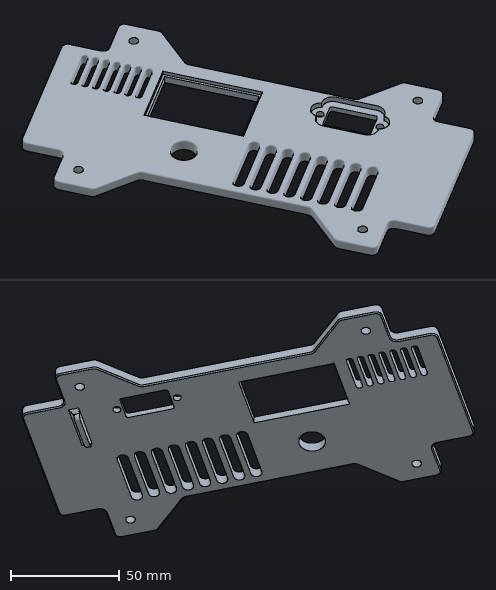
import cadquery as cq
length = 199.0
width = 109.0
plate_thickness = 6.0
wing_width = 68.7
waist_width = 74.6
ear_half_span = 78.2
ear_tip_inner_x = 58.3
corner_radius = 3.0
top_edge_radius = 1.0
bottom_chamfer = 0.5

mount_hole_diameter = 4.4
mount_hole_x = 68.5
mount_hole_y = 44.4

small_vent_count = 7
small_vent_pitch = 5.2
small_vent_width = 3.0
small_vent_length = 19.5
small_vent_centre = (-71.6, 19.3)

large_vent_count = 8
large_vent_pitch = 8.2
large_vent_width = 5.2
large_vent_length = 29.8
large_vent_centre = (33.0, -18.1)

rim_radius = 1.0

window_length = 45.5
window_height = 27.0
window_ledge = 1.2
window_lower_ledge = 2.0
window_ledge_depth = 2.0
window_centre = (-25.9, 14.3)

button_diameter = 12.3
button_centre = (-25.7, -18.0)

connector_centre = (41.4, 25.7)
connector_length = 22.9
connector_height = 12.5
connector_corner_radius = 1.0
recess_length = 30.0
recess_height = 19.9
recess_corner_radius = 5.0
recess_depth = 3.0
screw_spacing = 28.9
screw_hole_diameter = 3.5
screw_lobe_diameter = 8.8

tab_depth = 5.0
tab_left_x = 72.6
tab_thickness = 3.0
tab_width = 20.3
tab_centre_y = 19.5
tab_corner_radius = 2.0
tab_root_flare = 1.8
tab_edge_radius = 1.5


def make_plate():
    waist_y = waist_width / 2
    ear_y = width / 2
    wing_y = wing_width / 2
    waist_x = ear_tip_inner_x - (ear_y - waist_y)
    upper_right = [
        (waist_x, waist_y),
        (ear_tip_inner_x, ear_y),
        (ear_half_span, ear_y),
        (ear_half_span, wing_y),
        (length / 2, wing_y),
    ]
    right = upper_right + [(x, -y) for x, y in reversed(upper_right)]
    left = [(-x, -y) for x, y in right]
    plate = cq.Workplane("XY").polyline(right + left).close().extrude(plate_thickness)
    plate = plate.edges("|Z").fillet(corner_radius)
    plate = plate.faces(">Z").fillet(top_edge_radius)
    return plate.faces("<Z").chamfer(bottom_chamfer)


def top_plane():
    return cq.Workplane("XY").workplane(offset=plate_thickness)


def round_rims(body, centre, span_x, span_y):
    """Round the top edges of every opening within a rectangle on the top face."""
    low = (centre[0] - span_x / 2, centre[1] - span_y / 2, plate_thickness - rim_radius / 2)
    high = (centre[0] + span_x / 2, centre[1] + span_y / 2, plate_thickness + rim_radius / 2)
    return body.edges(cq.selectors.BoxSelector(low, high)).fillet(rim_radius)


def cut_vents(body, count, pitch, slot_width, slot_length, centre):
    """Cut a row of upright slots with rounded top rims."""
    row_span = pitch * (count - 1)
    first_x = centre[0] - row_span / 2
    points = [(first_x + pitch * i, centre[1]) for i in range(count)]
    slots = top_plane().pushPoints(points).slot2D(slot_length, slot_width, 90).extrude(-plate_thickness)
    return round_rims(body.cut(slots), centre, row_span + 2 * slot_width, slot_length + slot_width)


def cut_button_hole(body):
    hole = top_plane().center(*button_centre).circle(button_diameter / 2).extrude(-plate_thickness)
    span = button_diameter + 2 * rim_radius
    return round_rims(body.cut(hole), button_centre, span, span)


def window_cutter():
    """Rectangular opening with a stepped ledge, wider along the lower side."""
    opening = top_plane().center(*window_centre).rect(window_length, window_height)
    opening = opening.extrude(-plate_thickness)
    ledge_length = window_length + 2 * window_ledge
    ledge_height = window_height + window_ledge + window_lower_ledge
    ledge_shift = (window_ledge - window_lower_ledge) / 2
    ledge = (
        top_plane()
        .center(window_centre[0], window_centre[1] + ledge_shift)
        .rect(ledge_length, ledge_height)
        .extrude(-window_ledge_depth)
    )
    return opening.union(ledge)


def connector_cutter():
    """Connector opening and its two screw holes, sunk in a lobed recess."""
    base = top_plane().center(*connector_centre)
    screws = [(-screw_spacing / 2, 0), (screw_spacing / 2, 0)]
    recess = base.rect(recess_length, recess_height).extrude(-recess_depth)
    recess = recess.edges("|Z").fillet(recess_corner_radius)
    lobes = base.pushPoints(screws).circle(screw_lobe_diameter / 2).extrude(-recess_depth)
    opening = base.rect(connector_length, connector_height).extrude(-plate_thickness)
    opening = opening.edges("|Z").fillet(connector_corner_radius)
    holes = base.pushPoints(screws).circle(screw_hole_diameter / 2).extrude(-plate_thickness)
    return recess.union(lobes).union(opening).union(holes)


def mounting_hole_cutter():
    return (
        top_plane()
        .rect(2 * mount_hole_x, 2 * mount_hole_y, forConstruction=True)
        .vertices()
        .circle(mount_hole_diameter / 2)
        .extrude(-plate_thickness)
    )


def make_tab():
    """Hanging tab with rounded lower corners and a flared root on three sides."""
    tab = (
        cq.Workplane("XY")
        .center(tab_left_x + tab_thickness / 2, tab_centre_y)
        .rect(tab_thickness, tab_width)
        .extrude(-tab_depth)
    )
    tab = tab.edges("|X and <Z").fillet(tab_corner_radius)
    tab = tab.faces(">X").edges("not >Z").fillet(tab_edge_radius)
    root = (
        cq.Workplane("XY")
        .center(tab_left_x, tab_centre_y)
        .rect(2 * (tab_thickness + tab_root_flare), tab_width + 2 * tab_root_flare)
        .extrude(-tab_root_flare, taper=45)
    )
    kept_side = (
        cq.Workplane("XY")
        .center(tab_left_x + tab_width / 2, tab_centre_y)
        .rect(tab_width, 2 * tab_width)
        .extrude(-tab_depth)
    )
    return tab.union(root.intersect(kept_side))


body = make_plate()
body = cut_vents(
    body, small_vent_count, small_vent_pitch, small_vent_width, small_vent_length, small_vent_centre
)
body = cut_vents(
    body, large_vent_count, large_vent_pitch, large_vent_width, large_vent_length, large_vent_centre
)
body = cut_button_hole(body)
for cutter in (window_cutter(), connector_cutter(), mounting_hole_cutter()):
    body = body.cut(cutter)
result = body.union(make_tab())